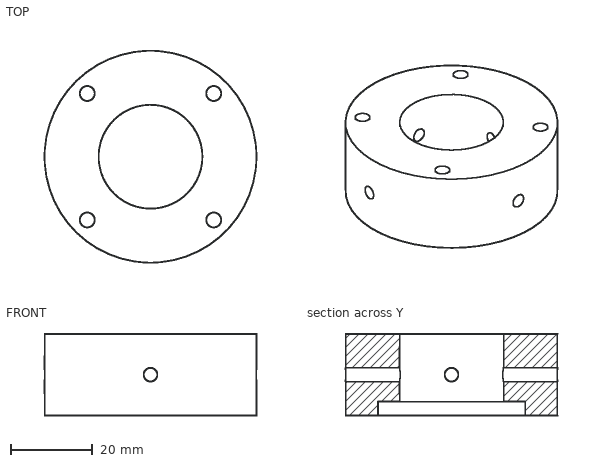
import cadquery as cq

outer_diameter = 52.0
bore_diameter = 25.4
height = 20.0

counterbore_diameter = 36.0
counterbore_depth = 3.4

axial_hole_diameter = 3.6
axial_hole_spacing = 31.0

radial_hole_diameter = 3.3


def make_ring():
    """Plain cylinder with a central through bore, standing on Z = 0."""
    return (
        cq.Workplane("XY")
        .circle(outer_diameter / 2)
        .circle(bore_diameter / 2)
        .extrude(height)
    )


def make_counterbore():
    """Cutter for the round recess in the bottom face."""
    return cq.Workplane("XY").circle(counterbore_diameter / 2).extrude(counterbore_depth)


def make_axial_holes():
    """Cutters for the through holes parallel to Z."""
    return (
        cq.Workplane("XY")
        .rect(axial_hole_spacing, axial_hole_spacing, forConstruction=True)
        .vertices()
        .circle(axial_hole_diameter / 2)
        .extrude(height)
    )


def make_radial_hole(plane):
    """Cutter across the full ring, normal to the given plane, at mid-height."""
    return (
        cq.Workplane(plane, origin=(0, 0, height / 2))
        .circle(radial_hole_diameter / 2)
        .extrude(outer_diameter / 2, both=True)
    )


result = make_ring().cut(make_counterbore()).cut(make_axial_holes())
for hole_plane in ("XZ", "YZ"):
    result = result.cut(make_radial_hole(hole_plane))